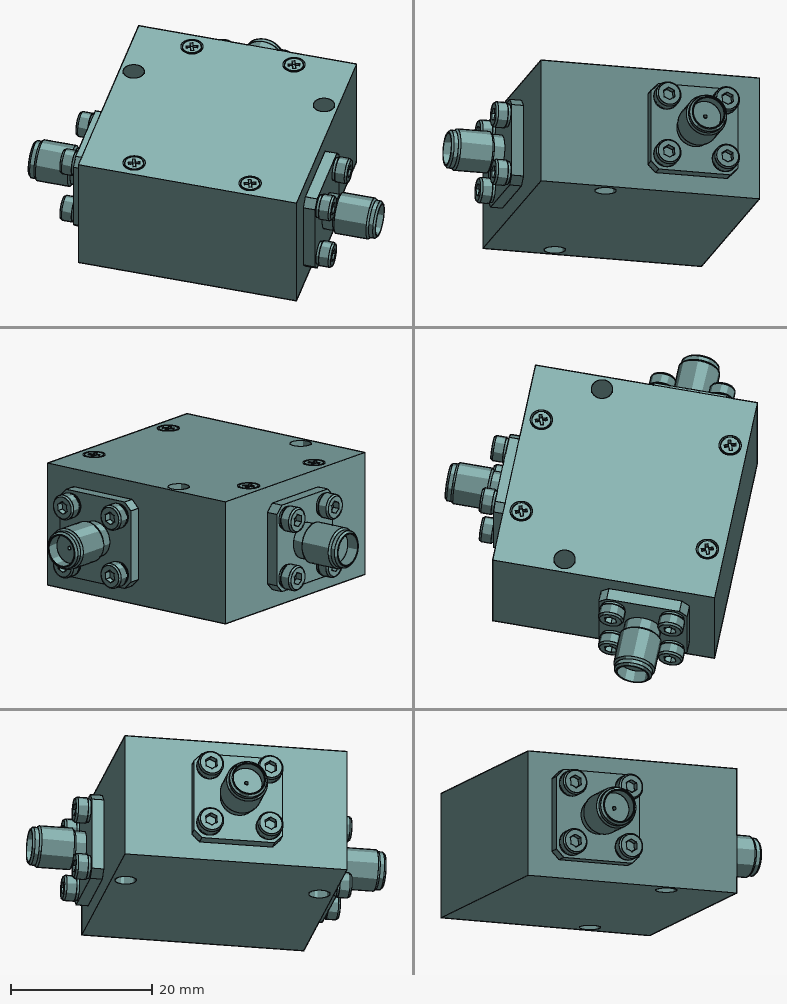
import cadquery as cq

overall_length = 51.0
body_side = 32.05
body_height = 18.0
top_z = body_height / 2

mount_hole_diameter = 3.0
mount_hole_spacing = 27.95
mount_hole_y = 22.05

lid_groove_diameter = 3.15
lid_screw_head_diameter = 2.7
lid_groove_depth = 0.25
rear_screw_spacing = 15.0
rear_screw_y = 29.55
front_screw_spacing = 17.05
front_screw_y = 2.5

cross_length = 1.7
cross_floor_length = 1.1
cross_width = 0.4
cross_depth = 0.45
cross_angle = 20

connector_length = (overall_length - body_side) / 2
side_connector_y = 10.0
flange_side = 12.75
flange_thickness = 1.75
flange_chamfer = 1.1
barrel_radius = 2.95
neck_radius = 2.6
neck_length = 1.55
neck_cone_length = 0.3
rim_radius = 2.7
rim_length = 0.9
rim_chamfer = 0.3
shoulder_length = 0.3
bore_radius = 2.25
bore_depth = 1.8
pin_hole_diameter = 0.5
pin_hole_depth = 1.0

cap_screw_spacing = 8.55
cap_head_diameter = 3.6
cap_head_height = 2.15
cap_bevel_length = 0.3
cap_bevel_inset = 0.2
cap_neck_diameter = 3.3
cap_neck_height = 0.4
socket_corner_diameter = 1.85
socket_depth = 1.0
socket_angle = 35


def make_housing():
    """Block with two mounting holes through its full height."""
    block = cq.Workplane("XY").box(body_side, body_side, body_height, centered=(True, False, True))
    hole_points = [(side * mount_hole_spacing / 2, mount_hole_y) for side in (-1, 1)]
    holes = (
        cq.Workplane("XY", origin=(0, 0, -top_z))
        .pushPoints(hole_points)
        .circle(mount_hole_diameter / 2)
        .extrude(body_height)
    )
    return block.cut(holes)


def make_lid_screw_cuts():
    """Cross cut in a flush flat head, and the V groove around that head; top at Z = 0."""
    head_radius = lid_screw_head_diameter / 2
    groove = (
        cq.Workplane("XZ")
        .moveTo(head_radius, 0)
        .lineTo(lid_groove_diameter / 2, 0)
        .lineTo(head_radius, -lid_groove_depth)
        .close()
        .revolve(360, (0, 0, 0), (0, 1, 0))
    )
    slot = (
        cq.Workplane("XZ")
        .moveTo(-cross_length / 2, 0)
        .lineTo(cross_length / 2, 0)
        .lineTo(cross_floor_length / 2, -cross_depth)
        .lineTo(-cross_floor_length / 2, -cross_depth)
        .close()
        .extrude(cross_width / 2, both=True)
    )
    cross = slot.union(slot.rotate((0, 0, 0), (0, 0, 1), 90))
    return cross.rotate((0, 0, 0), (0, 0, 1), cross_angle), groove


def make_cap_screw():
    """Socket-head screw pointing along +X, seated at X = 0."""
    under_head_radius = cap_neck_diameter / 2
    head_radius = cap_head_diameter / 2
    profile = [
        (0, 0),
        (0, under_head_radius),
        (cap_neck_height, under_head_radius),
        (cap_neck_height, head_radius),
        (cap_head_height - cap_bevel_length, head_radius),
        (cap_head_height, head_radius - cap_bevel_inset),
        (cap_head_height, 0),
    ]
    screw = cq.Workplane("XY").polyline(profile).close().revolve(360, (0, 0, 0), (1, 0, 0))
    socket = (
        cq.Workplane("YZ", origin=(cap_head_height - socket_depth, 0, 0))
        .polygon(6, socket_corner_diameter)
        .extrude(socket_depth)
        .rotate((0, 0, 0), (1, 0, 0), socket_angle)
    )
    return screw.cut(socket)


def make_barrel():
    """Turned connector barrel along X, from the housing face at X = 0 to its open end."""
    cone_start = flange_thickness + neck_length
    rim_start = connector_length - rim_length
    bore_floor = connector_length - bore_depth
    profile = [
        (0, 0),
        (0, neck_radius),
        (cone_start, neck_radius),
        (cone_start + neck_cone_length, barrel_radius),
        (rim_start - shoulder_length, barrel_radius),
        (rim_start, rim_radius),
        (connector_length - rim_chamfer, rim_radius),
        (connector_length, rim_radius - rim_chamfer),
        (connector_length, bore_radius),
        (bore_floor, bore_radius),
        (bore_floor, 0),
    ]
    barrel = cq.Workplane("XY").polyline(profile).close().revolve(360, (0, 0, 0), (1, 0, 0))
    pin_hole = (
        cq.Workplane("YZ", origin=(bore_floor - pin_hole_depth, 0, 0))
        .circle(pin_hole_diameter / 2)
        .extrude(pin_hole_depth)
    )
    return barrel.cut(pin_hole)


def make_connector():
    """Flange, barrel and four cap screws, pointing along +X from X = 0."""
    connector = (
        cq.Workplane("YZ")
        .rect(flange_side, flange_side)
        .extrude(flange_thickness)
        .edges("|X")
        .chamfer(flange_chamfer)
        .union(make_barrel())
    )
    cap_screw = make_cap_screw()
    offset = cap_screw_spacing / 2
    for y in (-offset, offset):
        for z in (-offset, offset):
            connector = connector.union(cap_screw.translate((flange_thickness, y, z)))
    return connector


result = make_housing()

cross, groove = make_lid_screw_cuts()
for spacing, screw_y in ((rear_screw_spacing, rear_screw_y), (front_screw_spacing, front_screw_y)):
    for side in (-1, 1):
        place = (side * spacing / 2, screw_y, top_z)
        result = result.cut(cross.translate(place)).cut(groove.translate(place))

connector_places = (
    (0, body_side / 2, side_connector_y),
    (180, -body_side / 2, side_connector_y),
    (90, 0, body_side),
)
connector = make_connector()
for turn, place_x, place_y in connector_places:
    result = result.union(connector.rotate((0, 0, 0), (0, 0, 1), turn).translate((place_x, place_y, 0)))